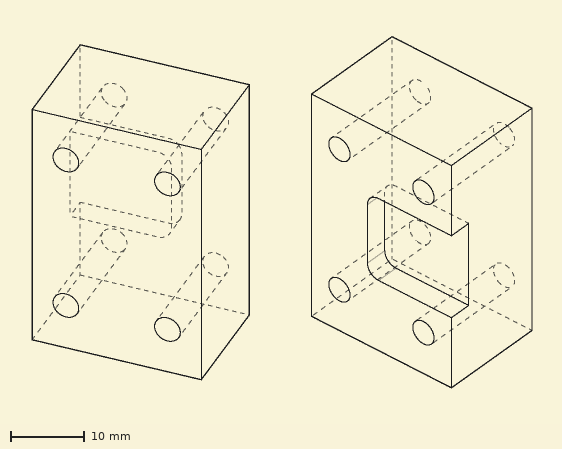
import cadquery as cq

width = 25.0
depth = 17.0
height = 38.0

hole_diameter = 3.8
hole_spacing_x = 15.0
hole_spacing_z = 24.0

pocket_height = 14.0
pocket_depth = 3.65
pocket_length = 15.0
pocket_corner_radius = 2.0


def block():
    return cq.Workplane("XY").box(width, depth, height)


def drill_holes(body):
    return (
        body.faces("<Y")
        .workplane(centerOption="CenterOfBoundBox")
        .rarray(hole_spacing_x, hole_spacing_z, 2, 2)
        .hole(hole_diameter)
    )


def pocket():
    pocket_center_x = (pocket_length - width) / 2
    pocket_center_y = (depth - pocket_depth) / 2
    return (
        cq.Workplane("XY")
        .box(pocket_length, pocket_depth, pocket_height)
        .edges("|Y and >X")
        .fillet(pocket_corner_radius)
        .translate((pocket_center_x, pocket_center_y, 0))
    )


result = drill_holes(block()).cut(pocket())